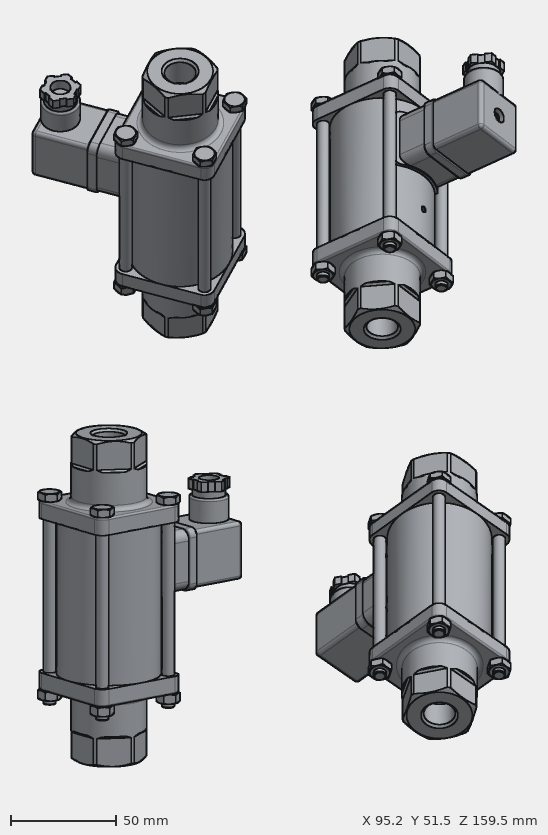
import cadquery as cq
import math


overall_height = 159.5
overall_width = 95.2
body_diameter = 50.0
plate_size = body_diameter
plate_corner_radius = 5.0
plate_edge_radius = 1.0
plate_inner_z = 37.6
plate_outer_z = 46.3
plate_thickness = plate_outer_z - plate_inner_z

port_diameter = 36.0
port_root_radius = 2.5
wrench_size = 32.0
wrench_length = 14.0
wrench_runout = 1.1
port_face_slope = 30.0
port_face_diameter = 31.3
bore_diameter = 15.0
bore_mouth_diameter = 17.5
bore_depth = 14.7

bolt_offset = plate_size / 2 - plate_corner_radius
bolt_diameter = 6.0
bolt_hex_corners = 11.5
bolt_hex_face_diameter = 9.5
bolt_hex_slope = 30.0
bolt_head_height = 4.1
nut_height = 4.8
bolt_tip_length = 2.4
bolt_tip_chamfer = 0.5

connector_z = 14.4
connector_end_x = body_diameter / 2 - overall_width
saddle_diameter = 52.8
saddle_width = 34.1
saddle_height = 30.8
saddle_corner_radius = 3.2
socket_size = 29.7
socket_corner_radius = 5.0
flange_size = 30.5
flange_corner_radius = 4.0
flange_thickness = 4.8
flange_edge_radius = 0.3
housing_size = 28.2
housing_length = 28.7
housing_edge_radius = 1.9

gland_diameter = 18.8
gland_x = connector_end_x + gland_diameter / 2
gland_top_z = 40.2
gland_edge_radius = 1.0
gland_neck_diameter = 16.0
knob_bottom_z = 43.5
knob_top_z = 48.5
knob_corners = 19.8
knob_notch_width = 3.3
knob_notch_depth = 0.8
cable_hole_diameter = 9.5
cable_hole_depth = 5.5

screw_hole_diameter = 7.2
screw_hole_depth = 3.2
screw_head_diameter = 5.5
screw_head_height = 2.2
screw_dome_height = 1.5
screw_slot_width = 0.8
screw_slot_depth = 1.3

vent_z = -20.5
vent_diameter = 2.5
vent_mouth_diameter = 3.2
vent_depth = 3.2


def cylinder(diameter, bottom_z, top_z):
    return cq.Workplane("XY", origin=(0, 0, bottom_z)).circle(diameter / 2).extrude(top_z - bottom_z)


def hexagon(corners, bottom_z, top_z):
    """Hexagonal prism with flats facing +X and -X."""
    height = top_z - bottom_z
    return cq.Workplane("XY", origin=(0, 0, bottom_z)).polygon(6, corners).extrude(height).rotate(
        (0, 0, 0), (0, 0, 1), 30)


def connector_block(width, height, corner_radius, start_x, end_x):
    """Block along X with rounded corners, centred on the connector."""
    return (
        cq.Workplane("YZ", origin=(start_x, 0, connector_z))
        .rect(width, height)
        .extrude(end_x - start_x)
        .edges("|X")
        .fillet(corner_radius)
    )


def make_plate():
    return (
        cq.Workplane("XY", origin=(0, 0, plate_inner_z))
        .rect(plate_size, plate_size)
        .extrude(plate_thickness)
        .edges("|Z")
        .fillet(plate_corner_radius)
        .faces(">Z")
        .edges()
        .fillet(plate_edge_radius)
    )


def make_port():
    """Upper port: a turned neck with six wrench flats and a blind threaded hole."""
    top_z = overall_height / 2
    radius = port_diameter / 2
    face_radius = port_face_diameter / 2
    face_drop = (radius - face_radius) * math.tan(math.radians(port_face_slope))
    root_z = plate_outer_z + port_root_radius
    root_mid = port_root_radius * (1 - math.sqrt(0.5))
    mouth_radius = bore_mouth_diameter / 2
    bore_radius = bore_diameter / 2
    mouth_depth = mouth_radius - bore_radius
    port = (
        cq.Workplane("XZ")
        .moveTo(0, plate_inner_z)
        .lineTo(radius + port_root_radius, plate_inner_z)
        .lineTo(radius + port_root_radius, plate_outer_z)
        .threePointArc((radius + root_mid, plate_outer_z + root_mid), (radius, root_z))
        .lineTo(radius, top_z - face_drop)
        .lineTo(face_radius, top_z)
        .lineTo(mouth_radius, top_z)
        .lineTo(bore_radius, top_z - mouth_depth)
        .lineTo(bore_radius, top_z - bore_depth)
        .lineTo(0, top_z - bore_depth)
        .close()
        .revolve(360, (0, 0, 0), (0, 1, 0))
    )
    flat_x = wrench_size / 2
    flat_z = top_z - wrench_length
    land_x = flat_x + wrench_runout
    land_z = flat_z - wrench_runout
    flat_cutter = (
        cq.Workplane("XZ")
        .moveTo(flat_x, top_z)
        .lineTo(flat_x, flat_z)
        .lineTo(land_x, land_z)
        .lineTo(port_diameter, land_z)
        .lineTo(port_diameter, top_z)
        .close()
        .extrude(port_diameter / 2, both=True)
    )
    for index in range(6):
        port = port.cut(flat_cutter.rotate((0, 0, 0), (0, 0, 1), 60 * index))
    return port


def bolt_hexagon(bottom_z, top_z):
    """Bolt head or nut: a hexagon with its corners turned off at both faces."""
    chamfer_run = (bolt_hex_corners - bolt_hex_face_diameter) / 2
    chamfer_drop = chamfer_run * math.tan(math.radians(bolt_hex_slope))
    turned_blank = cylinder(bolt_hex_corners, bottom_z, top_z)
    turned_blank = turned_blank.faces("<Z or >Z").edges().chamfer(chamfer_drop, chamfer_run)
    return hexagon(bolt_hex_corners, bottom_z, top_z).intersect(turned_blank)


def make_bolt():
    nut_bottom_z = -plate_outer_z - nut_height
    rod = cylinder(bolt_diameter, nut_bottom_z - bolt_tip_length, plate_outer_z)
    rod = rod.faces("<Z").chamfer(bolt_tip_chamfer)
    head = bolt_hexagon(plate_outer_z, plate_outer_z + bolt_head_height)
    nut = bolt_hexagon(nut_bottom_z, -plate_outer_z)
    return rod.union(head).union(nut)


def make_connector():
    flange_start_x = connector_end_x + housing_length
    flange_end_x = flange_start_x + flange_thickness
    housing = connector_block(
        housing_size, housing_size, housing_edge_radius, connector_end_x, flange_start_x)
    housing = housing.faces("<X").edges().fillet(housing_edge_radius)
    flange = connector_block(
        flange_size, flange_size, flange_corner_radius, flange_start_x, flange_end_x)
    flange = flange.faces("<X or >X").edges().fillet(flange_edge_radius)
    socket = connector_block(socket_size, socket_size, socket_corner_radius, flange_end_x, 0)
    saddle = connector_block(
        saddle_width, saddle_height, saddle_corner_radius, -saddle_diameter, 0)
    saddle = saddle.intersect(cylinder(saddle_diameter, -plate_inner_z, plate_inner_z))
    return housing.union(flange).union(socket).union(saddle)


def make_gland():
    housing_top_z = connector_z + housing_size / 2
    sleeve = cylinder(gland_diameter, housing_top_z - housing_edge_radius, gland_top_z)
    sleeve = sleeve.faces(">Z").edges().fillet(gland_edge_radius)
    neck = cylinder(gland_neck_diameter, gland_top_z, knob_bottom_z)
    knob = hexagon(knob_corners, knob_bottom_z, knob_top_z)
    flat_distance = knob_corners / 2 * math.cos(math.radians(30))
    notch = cq.Workplane("XY", origin=(flat_distance, 0, knob_bottom_z)).rect(
        2 * knob_notch_depth, knob_notch_width).extrude(knob_top_z - knob_bottom_z)
    for index in range(6):
        knob = knob.cut(notch.rotate((0, 0, 0), (0, 0, 1), 60 * index))
    gland = sleeve.union(neck).union(knob)
    gland = gland.cut(cylinder(cable_hole_diameter, knob_top_z - cable_hole_depth, knob_top_z))
    return gland.translate((gland_x, 0, 0))


def make_screw_hole():
    hole_floor_x = connector_end_x + screw_hole_depth
    return cq.Workplane("YZ", origin=(hole_floor_x, 0, connector_z)).circle(
        screw_hole_diameter / 2).extrude(-screw_hole_depth)


def make_screw():
    """Domed cross-slotted head standing on the floor of its hole."""
    hole_floor_x = connector_end_x + screw_hole_depth
    radius = screw_head_diameter / 2
    dome_radius = (radius**2 + screw_dome_height**2) / (2 * screw_dome_height)
    base = cq.Workplane("YZ", origin=(hole_floor_x, 0, connector_z))
    head = base.circle(radius).extrude(-screw_head_height)
    crown_x = hole_floor_x - screw_head_height
    dome = cq.Workplane("XY").sphere(dome_radius).translate((crown_x + dome_radius, 0, connector_z))
    head = head.intersect(dome)
    slots = cq.Workplane("XY").box(2 * screw_slot_depth, screw_head_diameter, screw_slot_width).union(
        cq.Workplane("XY").box(2 * screw_slot_depth, screw_slot_width, screw_head_diameter))
    return head.cut(slots.translate((crown_x, 0, connector_z)))


def make_vent():
    surface_x = -body_diameter / 2
    mouth_radius = vent_mouth_diameter / 2
    hole_radius = vent_diameter / 2
    mouth_depth = mouth_radius - hole_radius
    return (
        cq.Workplane("XY")
        .moveTo(surface_x, 0)
        .lineTo(surface_x, mouth_radius)
        .lineTo(surface_x + mouth_depth, hole_radius)
        .lineTo(surface_x + vent_depth, hole_radius)
        .lineTo(surface_x + vent_depth, 0)
        .close()
        .revolve(360, (0, 0, 0), (1, 0, 0))
        .translate((0, 0, vent_z))
    )


body = cylinder(body_diameter, -plate_inner_z, plate_inner_z).cut(make_vent())
valve_end = make_plate().union(make_port())
bolt = make_bolt()

result = body.union(valve_end).union(valve_end.mirror("XY"))
for x_side in (-1, 1):
    for y_side in (-1, 1):
        result = result.union(bolt.translate((x_side * bolt_offset, y_side * bolt_offset, 0)))
result = result.union(make_connector()).union(make_gland())
result = result.cut(make_screw_hole()).union(make_screw())